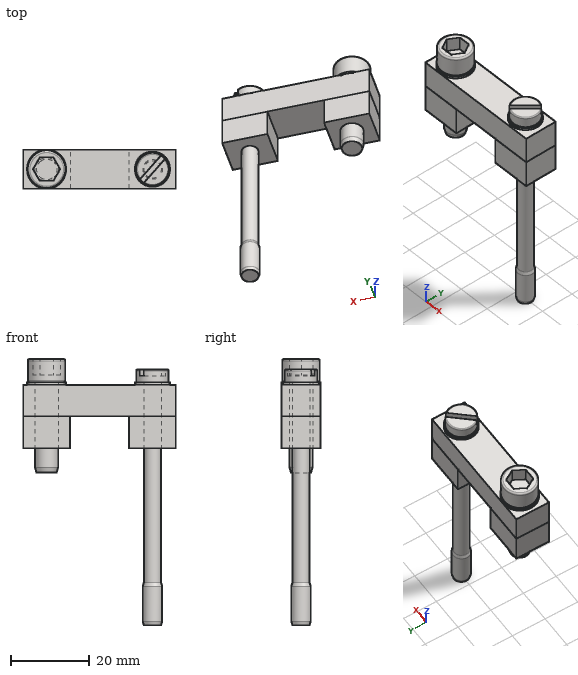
import cadquery as cq
import math

bar_length = 39.0
bar_width = 10.0
bar_height = 8.0
screw_inset = 6.0
socket_x = screw_inset - bar_length / 2
slotted_x = -socket_x

block_length = 2 * screw_inset
block_height = 8.15

washer_thickness = 0.65
socket_washer_diameter = 10.0
slotted_washer_diameter = 9.0
seat_z = bar_height + washer_thickness

socket_head_diameter = 9.6
socket_head_height = 6.0
socket_head_top_round = 0.5
socket_head_bottom_round = 0.5
hexagon_across_flats = 6.0
hexagon_depth = 4.0
socket_shank_diameter = 6.0
socket_shank_length = 23.0
socket_tip_diameter = 5.2
socket_tip_height = 1.4

slotted_head_diameter = 8.3
slotted_head_height = 3.3
slotted_head_top_round = 0.3
slotted_head_bottom_round = 0.2
slot_width = 1.35
slot_depth = 1.65
slot_angle = 48.5
thin_shank_diameter = 4.4
slotted_shank_length = 61.96
thick_end_diameter = 5.0
thick_end_length = 11.0
end_cone_height = 1.0


def box_on(x, bottom_z, length, height):
    """Full-width rectangular block standing on bottom_z."""
    return (
        cq.Workplane("XY", origin=(x, 0, bottom_z))
        .box(length, bar_width, height, centered=(True, True, False))
    )


def cylinder_up(x, bottom_z, diameter, height):
    """Vertical cylinder standing on bottom_z."""
    return cq.Workplane("XY", origin=(x, 0, bottom_z)).circle(diameter / 2).extrude(height)


def drill(body, x, diameter):
    """Cut a vertical hole right through a bar, block or washer."""
    full_height = block_height + seat_z
    return body.cut(cylinder_up(x, -block_height, diameter, full_height))


def make_bar():
    bar = box_on(0, 0, bar_length, bar_height)
    bar = drill(bar, socket_x, socket_shank_diameter)
    return drill(bar, slotted_x, thin_shank_diameter)


def make_block(x, hole_diameter):
    block = box_on(x, -block_height, block_length, block_height)
    return drill(block, x, hole_diameter)


def make_washer(x, outer_diameter, hole_diameter):
    washer = cylinder_up(x, bar_height, outer_diameter, washer_thickness)
    return drill(washer, x, hole_diameter)


def make_socket_screw():
    head = cylinder_up(socket_x, seat_z, socket_head_diameter, socket_head_height)
    head = head.faces(">Z").edges().fillet(socket_head_top_round)
    head = head.faces("<Z").edges().fillet(socket_head_bottom_round)
    hexagon = (
        cq.Workplane("XY", origin=(socket_x, 0, seat_z + socket_head_height))
        .polygon(6, hexagon_across_flats / math.cos(math.pi / 6))
        .extrude(-hexagon_depth)
    )
    shank_radius = socket_shank_diameter / 2
    shank = (
        cylinder_up(socket_x, seat_z - socket_shank_length, socket_shank_diameter, socket_shank_length)
        .faces("<Z").edges()
        .chamfer(socket_tip_height, shank_radius - socket_tip_diameter / 2)
    )
    return head.cut(hexagon).union(shank)


def make_slotted_screw():
    head = cylinder_up(slotted_x, seat_z, slotted_head_diameter, slotted_head_height)
    head = head.faces(">Z").edges().fillet(slotted_head_top_round)
    head = head.faces("<Z").edges().fillet(slotted_head_bottom_round)
    slot = (
        cq.Workplane("XY", origin=(slotted_x, 0, seat_z + slotted_head_height))
        .transformed(rotate=(0, 0, slot_angle))
        .rect(2 * slotted_head_diameter, slot_width)
        .extrude(-slot_depth)
    )
    thin_radius = thin_shank_diameter / 2
    thick_radius = thick_end_diameter / 2
    tip_z = seat_z - slotted_shank_length
    thick_top_z = tip_z + thick_end_length
    shank = (
        cq.Workplane("XZ", origin=(slotted_x, 0, 0))
        .moveTo(0, tip_z)
        .lineTo(thin_radius, tip_z)
        .lineTo(thick_radius, tip_z + end_cone_height)
        .lineTo(thick_radius, thick_top_z - end_cone_height)
        .lineTo(thin_radius, thick_top_z)
        .lineTo(thin_radius, seat_z)
        .lineTo(0, seat_z)
        .close()
        .revolve(360, (0, 0, 0), (0, 1, 0))
    )
    return head.cut(slot).union(shank)


bar = make_bar()
blocks = [
    make_block(x, diameter)
    for x, diameter in ((socket_x, socket_shank_diameter), (slotted_x, thin_shank_diameter))
]
socket_washer = make_washer(socket_x, socket_washer_diameter, socket_shank_diameter)
slotted_washer = make_washer(slotted_x, slotted_washer_diameter, thin_shank_diameter)
socket_screw = make_socket_screw()
slotted_screw = make_slotted_screw()

result = cq.Compound.makeCompound([
    bar.val(),
    *[block.val() for block in blocks],
    socket_washer.val(),
    slotted_washer.val(),
    socket_screw.val(),
    slotted_screw.val(),
])